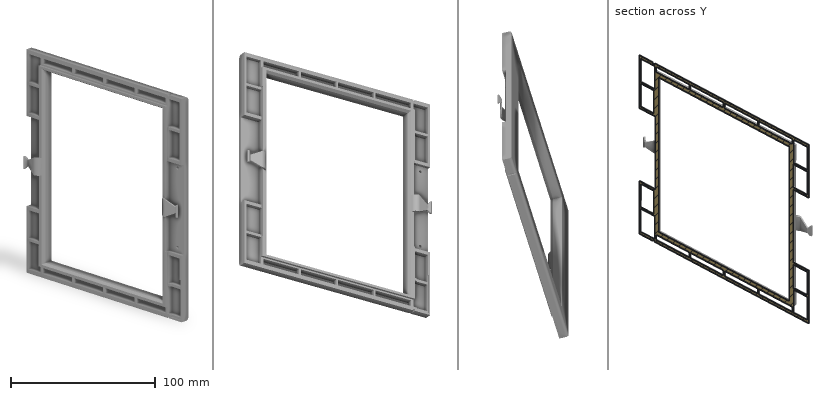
import cadquery as cq

WIDTH = 151.5
HEIGHT = 162.7
FRAME_DEPTH = 6.7
LIP_DEPTH = 8.5
HALF_W = WIDTH / 2
HALF_H = HEIGHT / 2

FLOOR = 2.3
LEFT_POCKET_FLOOR = 3.3
RIGHT_BAY_FLOOR = 4.0

BACK_RADIUS = 2.0

WINDOW_BORDER_X = 18.0
WINDOW_BORDER_Z = 11.4
FLARE = 1.3
FLARE_DEPTH = 2.3

LIP_BORDER_X = 13.7
LIP_BORDER_X_NARROW = 14.2
LIP_BORDER_Z = 8.3

RIM_X = 1.8
RIM_Z = 3.0
CORNER_END = 23.5
SIDE_START = 25.4
SIDE_END = 46.0
BAY_START = 48.5
RIGHT_SIDE_BORDER = 13.0
STRIP_END = 7.2
STRIP_BORDER_X = 15.5
STRIP_COUNT = 4
STRIP_RIB = 1.5

HOLE_DIAMETER = 2.1
HOLE_DEPTH = 2.0
HOLE_BORDER_X = 6.3
HOLE_BORDER_Z = 52.5

SLIT_BORDER_X = 13.0
SLIT_WIDTH = 1.3
SLIT_DEPTH = 1.0

RECESS_LEFT = 10.7
RECESS_RIGHT = 1.1
RECESS_BOTTOM = 1.3
RECESS_TOP = 30.5
RECESS_DEPTH = 0.8

CLIP_REACH = 11.4
CLIP_THICKNESS = 1.1
CLIP_HALF_HEIGHT = 6.3
CLIP_ROOT_X = 16.5
CLIP_ROOT_Y = 8.3
CLIP_BELLY_X = 14.8
CLIP_BELLY_Y = 10.5
CLIP_BEND_X = 11.9
CLIP_NECK_X = 3.5
CLIP_NECK_Y = 9.0
CLIP_NECK_HALF_HEIGHT = 2.1
CLIP_TIP_X = 0.7
CLIP_TIP_Y = 10.5
CLIP_TIP_HALF_HEIGHT = 4.5


def block(x0, x1, z0, z1, back, front):
    """Box between two X and two Z places, from depth `back` to depth `front`."""
    return cq.Workplane("XY").box(x1 - x0, front - back, z1 - z0, centered=False).translate((x0, -front, z0))


def centred_block(border_x, border_z, back, front):
    """Box that stays clear of the outer sides by the given borders."""
    half_x = HALF_W - border_x
    half_z = HALF_H - border_z
    return block(-half_x, half_x, -half_z, half_z, back, front)


def mirrored_z(shape):
    return shape.union(shape.mirror("XY"))


def mirrored_x(shape):
    return shape.union(shape.mirror("YZ"))


def make_body():
    body = centred_block(0, 0, 0, FRAME_DEPTH)
    return body.faces(">Y").edges("|X").fillet(BACK_RADIUS)


def make_lip():
    lip = centred_block(LIP_BORDER_X, LIP_BORDER_Z, 0, LIP_DEPTH)
    trim_width = LIP_BORDER_X_NARROW - LIP_BORDER_X
    left = -HALF_W + LIP_BORDER_X
    right = HALF_W - LIP_BORDER_X
    left_half = HALF_H - CORNER_END
    right_half = HALF_H - BAY_START
    lip = lip.cut(block(left, left + trim_width, -left_half, left_half, FLOOR, LIP_DEPTH))
    return lip.cut(block(right - trim_width, right, -right_half, right_half, RIGHT_BAY_FLOOR, LIP_DEPTH))


def make_window():
    straight = centred_block(WINDOW_BORDER_X, WINDOW_BORDER_Z, 0, LIP_DEPTH)
    width = WIDTH - 2 * WINDOW_BORDER_X
    height = HEIGHT - 2 * WINDOW_BORDER_Z
    flare = (
        cq.Workplane("XZ", origin=(0, FLARE_DEPTH - LIP_DEPTH, 0))
        .rect(width, height)
        .workplane(offset=FLARE_DEPTH)
        .rect(width + 2 * FLARE, height + 2 * FLARE)
        .loft(ruled=True)
    )
    return straight.union(flare)


def pocket_pair(x0, x1, start, end, floor=FLOOR):
    """Pair of pockets, `start` to `end` from the top and from the bottom edge."""
    return mirrored_z(block(x0, x1, HALF_H - end, HALF_H - start, floor, LIP_DEPTH))


def cut_pockets(body):
    outer = HALF_W - RIM_X
    lip_wall = HALF_W - LIP_BORDER_X
    narrow_wall = HALF_W - LIP_BORDER_X_NARROW
    bay_half = HALF_H - BAY_START
    body = body.cut(pocket_pair(-outer, -lip_wall, RIM_Z, CORNER_END, LEFT_POCKET_FLOOR))
    body = body.cut(pocket_pair(-outer, -narrow_wall, SIDE_START, SIDE_END, LEFT_POCKET_FLOOR))
    body = body.cut(pocket_pair(lip_wall, outer, RIM_Z, CORNER_END))
    body = body.cut(pocket_pair(HALF_W - RIGHT_SIDE_BORDER, outer, SIDE_START, SIDE_END))
    body = body.cut(block(-HALF_W, -narrow_wall, -bay_half, bay_half, FLOOR, LIP_DEPTH))
    body = body.cut(block(narrow_wall, HALF_W, -bay_half, bay_half, RIGHT_BAY_FLOOR, LIP_DEPTH))

    strip_span = WIDTH - 2 * STRIP_BORDER_X
    strip_pitch = (strip_span + STRIP_RIB) / STRIP_COUNT
    for i in range(STRIP_COUNT):
        x0 = -strip_span / 2 + i * strip_pitch
        body = body.cut(pocket_pair(x0, x0 + strip_pitch - STRIP_RIB, RIM_Z, STRIP_END))
    return body


def make_holes():
    x = HALF_W - HOLE_BORDER_X
    z = HALF_H - HOLE_BORDER_Z
    return (
        cq.Workplane("XZ", origin=(0, HOLE_DEPTH - RIGHT_BAY_FLOOR, 0))
        .pushPoints([(x, z), (x, -z)])
        .circle(HOLE_DIAMETER / 2)
        .extrude(HOLE_DEPTH)
    )


def make_slits():
    x = HALF_W - SLIT_BORDER_X
    slit = block(x - SLIT_WIDTH / 2, x + SLIT_WIDTH / 2, HALF_H - SLIT_DEPTH, HALF_H, 0, FRAME_DEPTH)
    return mirrored_z(slit)


def make_recess():
    return block(
        HALF_W - RECESS_LEFT,
        HALF_W - RECESS_RIGHT,
        -HALF_H + RECESS_BOTTOM,
        -HALF_H + RECESS_TOP,
        FRAME_DEPTH - RECESS_DEPTH,
        FRAME_DEPTH,
    )


def make_clip():
    """Bent sheet clip of the right side: its bent section trimmed to its front outline."""
    root_x = HALF_W - CLIP_ROOT_X
    bend_x = HALF_W - CLIP_BEND_X
    neck_x = HALF_W - CLIP_NECK_X
    tip_x = HALF_W - CLIP_TIP_X
    sheet = (
        cq.Workplane("XY")
        .moveTo(root_x, -CLIP_ROOT_Y)
        .threePointArc((HALF_W - CLIP_BELLY_X, -CLIP_BELLY_Y), (bend_x, -CLIP_REACH))
        .lineTo(neck_x, -CLIP_NECK_Y)
        .lineTo(tip_x - CLIP_THICKNESS, -CLIP_TIP_Y)
        .radiusArc((tip_x, -CLIP_TIP_Y + CLIP_THICKNESS), -CLIP_THICKNESS)
        .lineTo(neck_x, -CLIP_NECK_Y + CLIP_THICKNESS)
        .lineTo(bend_x, -CLIP_REACH + CLIP_THICKNESS)
        .lineTo(root_x + CLIP_THICKNESS, -CLIP_ROOT_Y)
        .close()
        .extrude(CLIP_HALF_HEIGHT, both=True)
    )
    upper = [
        (root_x, CLIP_HALF_HEIGHT),
        (bend_x, CLIP_HALF_HEIGHT),
        (neck_x, CLIP_NECK_HALF_HEIGHT),
        (tip_x - CLIP_THICKNESS, CLIP_TIP_HALF_HEIGHT),
        (tip_x, CLIP_TIP_HALF_HEIGHT),
    ]
    lower = [(x, -z) for x, z in reversed(upper)]
    outline = cq.Workplane("XZ").polyline(upper + lower).close().extrude(CLIP_REACH)
    return sheet.intersect(outline)


body = make_body().union(make_lip())
body = cut_pockets(body)
body = body.cut(make_window())
body = body.cut(make_holes())
body = body.cut(make_slits())
body = body.cut(make_recess())
result = body.union(mirrored_x(make_clip()))